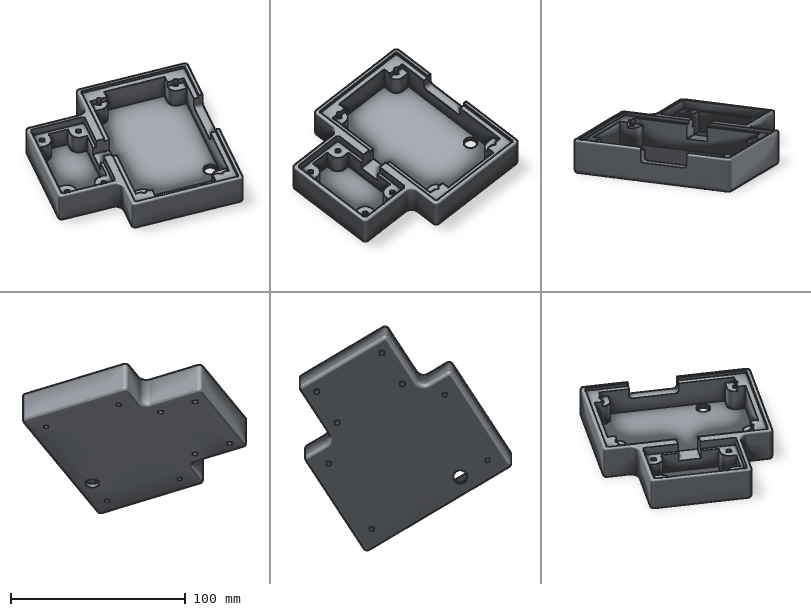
import cadquery as cq

total_length = 105.1
height = 20.0
main_width = 99.2
main_length = 67.6
small_width = 59.5
rear_y = total_length / 2
front_y = -rear_y
main_front_y = rear_y - main_length
main_center_y = rear_y - main_length / 2
small_center_y = front_y + 18.7

corner_radius = 2.4
inside_corner_radius = 4.9
top_edge_radius = 1.0
bottom_edge_radius = 2.3

floor_z = 2.7
main_ledge_z = height - 1.8
post_top_z = height - 5.0
slot_floor_z = height - 10.3
notch_floor_z = height - 8.4

main_recess_radius = 0.9
main_recess_width = 94.3
main_recess_length = 62.6
small_recess_width = 54.4
small_recess_length = 32.6
small_recess_radius = 1.5

main_cavity_width = 88.1
main_cavity_length = 56.5
main_screw_span_x = 78.2
main_screw_span_y = 46.5
main_screw_diameter = 2.7
main_post_radius = 4.9
board_width = 78.8

small_cavity_width = 50.7
small_cavity_length = 28.8
small_screw_span_x = 44.0
small_screw_span_y = 22.1
small_screw_diameter = 3.2
small_post_radius = 5.3

slot_width = 13.0
notch_width = 29.0
notch_center_x = -7.4
notch_radius = 2.1
cable_hole_diameter = 8.0
cable_hole_x = 20.5
cable_hole_y = rear_y - 10.3


def block(width, length, center_x, center_y, bottom_z, top_z):
    """Upright box given by its plan size, plan center and height range."""
    return (
        cq.Workplane("XY", origin=(center_x, center_y, bottom_z))
        .rect(width, length)
        .extrude(top_z - bottom_z)
    )


def outer_body():
    """Solid T-shaped body with all outer edges rounded."""
    main = block(main_width, main_length, 0, main_center_y, 0, height)
    small = block(small_width, total_length, 0, 0, 0, height)
    body = main.union(small).clean()
    corners = (
        (main_width / 2, rear_y, corner_radius),
        (main_width / 2, main_front_y, corner_radius),
        (small_width / 2, front_y, corner_radius),
        (small_width / 2, main_front_y, inside_corner_radius),
    )
    for x, y, radius in corners:
        for side in (-1, 1):
            corner = cq.selectors.NearestToPointSelector((side * x, y, height / 2))
            body = body.edges("|Z").edges(corner).fillet(radius)
    body = body.faces("<Z").edges().fillet(bottom_edge_radius)
    return body.faces(">Z").edges().fillet(top_edge_radius)


def recess(width, length, center_y, ledge_z, radius):
    """Shallow rounded recess from the ledge up to the rim."""
    return block(width, length, 0, center_y, ledge_z, height).edges("|Z").fillet(radius)


def corner_posts(width, length, center_y, span_x, span_y, radius, top_z):
    """Four round screw posts, each filled out square to the cavity corner behind it."""
    posts = cq.Workplane("XY")
    for side_x in (-1, 1):
        for side_y in (-1, 1):
            x = side_x * span_x / 2
            y = center_y + side_y * span_y / 2
            corner_x = side_x * width / 2
            corner_y = center_y + side_y * length / 2
            inner_x = x - side_x * radius
            inner_y = y - side_y * radius
            post = (
                cq.Workplane("XY", origin=(0, 0, floor_z))
                .center(x, y)
                .circle(radius)
                .extrude(top_z - floor_z)
            )
            for x0, y0 in ((inner_x, y), (x, inner_y)):
                post = post.union(
                    block(
                        abs(corner_x - x0),
                        abs(corner_y - y0),
                        (corner_x + x0) / 2,
                        (corner_y + y0) / 2,
                        floor_z,
                        top_z,
                    )
                )
            posts = posts.union(post)
    return posts


def screw_holes(span_x, span_y, center_y, diameter):
    """Four through holes on a rectangular pattern."""
    return (
        cq.Workplane("XY", origin=(0, center_y, 0))
        .rect(span_x, span_y, forConstruction=True)
        .vertices()
        .circle(diameter / 2)
        .extrude(height)
    )


def main_cavity():
    cavity = block(main_cavity_width, main_cavity_length, 0, main_center_y, floor_z, main_ledge_z)
    cavity = cavity.cut(
        corner_posts(
            main_cavity_width,
            main_cavity_length,
            main_center_y,
            main_screw_span_x,
            main_screw_span_y,
            main_post_radius,
            main_ledge_z,
        )
    )
    board_space = block(board_width, main_cavity_length, 0, main_center_y, post_top_z, main_ledge_z)
    return cavity.union(board_space)


def small_cavity():
    cavity = block(small_cavity_width, small_cavity_length, 0, small_center_y, floor_z, post_top_z)
    return cavity.cut(
        corner_posts(
            small_cavity_width,
            small_cavity_length,
            small_center_y,
            small_screw_span_x,
            small_screw_span_y,
            small_post_radius,
            post_top_z,
        )
    )


def wire_slot():
    """Open channel joining the two cavities."""
    slot_length = main_center_y - small_center_y
    slot_center_y = (main_center_y + small_center_y) / 2
    return block(slot_width, slot_length, 0, slot_center_y, slot_floor_z, height)


def rear_notch():
    """Opening in the rear wall with rounded lower corners."""
    wall = rear_y - main_center_y - main_cavity_length / 2
    notch = block(notch_width, wall, notch_center_x, rear_y - wall / 2, notch_floor_z, height)
    return notch.edges("|Y and <Z").fillet(notch_radius)


def cable_hole():
    return (
        cq.Workplane("XY")
        .center(cable_hole_x, cable_hole_y)
        .circle(cable_hole_diameter / 2)
        .extrude(height)
    )


result = (
    outer_body()
    .cut(recess(main_recess_width, main_recess_length, main_center_y, main_ledge_z, main_recess_radius))
    .cut(recess(small_recess_width, small_recess_length, small_center_y, post_top_z, small_recess_radius))
    .cut(main_cavity())
    .cut(small_cavity())
    .cut(wire_slot())
    .cut(rear_notch())
    .cut(screw_holes(main_screw_span_x, main_screw_span_y, main_center_y, main_screw_diameter))
    .cut(screw_holes(small_screw_span_x, small_screw_span_y, small_center_y, small_screw_diameter))
    .cut(cable_hole())
)